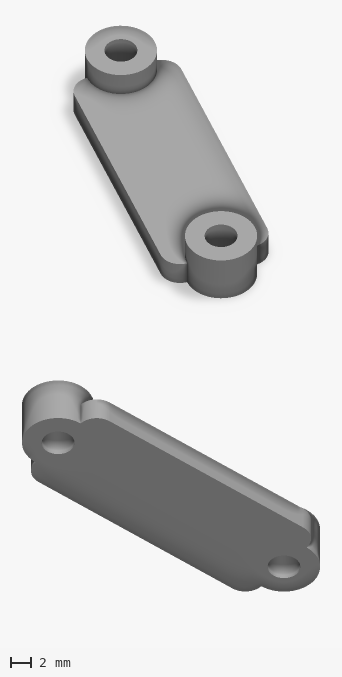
import cadquery as cq

overall_length = 35.0
boss_diameter = 7.0
boss_height = 5.0
hole_diameter = 3.2
plate_width = 11.0
plate_thickness = boss_height / 2
corner_radius = 2.0

plate_length = overall_length - boss_diameter
boss_centers = [(-plate_length / 2, 0), (plate_length / 2, 0)]

plate = (
    cq.Workplane("XY")
    .box(plate_length, plate_width, plate_thickness, centered=(True, True, False))
    .edges("|Z")
    .fillet(corner_radius)
)

bosses = (
    cq.Workplane("XY")
    .pushPoints(boss_centers)
    .circle(boss_diameter / 2)
    .extrude(boss_height)
)

holes = (
    cq.Workplane("XY")
    .pushPoints(boss_centers)
    .circle(hole_diameter / 2)
    .extrude(boss_height)
)

result = plate.union(bosses).cut(holes)